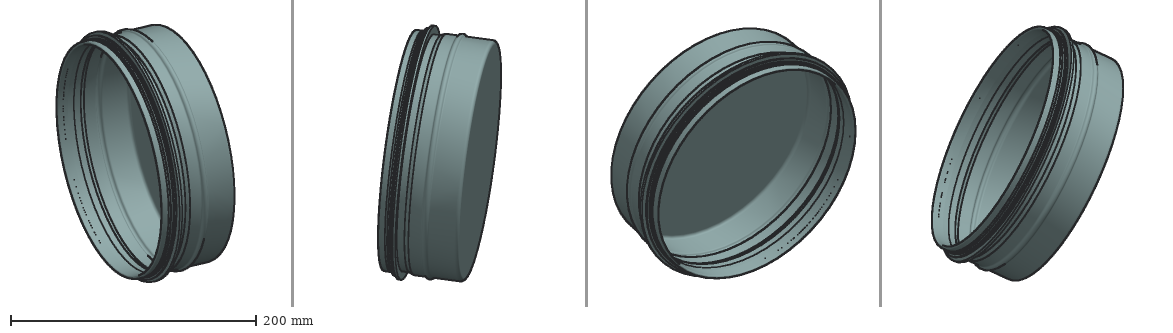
import cadquery as cq
import math

height = 67.0
sheet = 0.5
wall_radius = 198.9 / 2
floor_bend = 3.1

bead_center = 39.0
bead_crest_radius = 101.3
bead_tube = 2.7
bead_blend = 1.5

shoulder_top = 25.5
shoulder_bottom = 22.0
neck_top_radius = 98.0
seat_radius = 193.2 / 2 + sheet
seat_top = 9.8

rim_top = 6.0
rim_inner_radius = seat_radius - sheet
rim_round = (wall_radius - rim_inner_radius) / 2

seal_bore_radius = 195.3 / 2
seal_top = 15.7
sleeve_radius = 198.0 / 2
main_lip_radius = 209.4 / 2
main_lip_bottom = 13.5
second_lip_radius = 204.3 / 2
second_lip_top = 11.3
second_lip_bottom = 9.8
small_lip_radius = 100.0
small_lip_bottom = 8.0

diagonal = math.sqrt(0.5)


def revolve_about_y(profile):
    """Turn a closed (radius, axial position) profile and center it along Y."""
    ring = profile.close().revolve(360, (0, 0, 0), (0, 1, 0))
    return ring.translate((0, -height / 2, 0))


def add_bead(profile, offset, direction):
    """Trace one face of the bead; offset is its distance inside the outer face.

    direction is -1 towards the rim and +1 towards the floor.
    """
    wall = wall_radius - offset
    crest_tube = bead_tube - offset
    blend = bead_blend + offset
    crest_center = bead_crest_radius - bead_tube
    blend_center = wall + blend
    reach = crest_tube + blend
    radial_gap = blend_center - crest_center
    half_width = math.sqrt(reach**2 - radial_gap**2)
    tangent_radius = crest_center + radial_gap * crest_tube / reach
    tangent_axial = half_width * crest_tube / reach
    blend_mid_angle = math.acos(radial_gap / reach) / 2
    mid_radius = blend_center - blend * math.cos(blend_mid_angle)
    mid_axial = half_width - blend * math.sin(blend_mid_angle)
    start = bead_center - direction * half_width
    return (
        profile.lineTo(wall, start)
        .threePointArc(
            (mid_radius, bead_center - direction * mid_axial),
            (tangent_radius, bead_center - direction * tangent_axial),
        )
        .threePointArc(
            (bead_crest_radius - offset, bead_center),
            (tangent_radius, bead_center + direction * tangent_axial),
        )
        .threePointArc(
            (mid_radius, bead_center + direction * mid_axial),
            (wall, bead_center + direction * half_width),
        )
    )


def make_cap():
    """Sheet-metal cap with closed floor, bead, necked seat and folded rim."""
    bend_radius = wall_radius - floor_bend
    bend_axial = height - floor_bend
    inner_bend = floor_bend - sheet
    profile = (
        cq.Workplane("XY")
        .moveTo(0, height)
        .lineTo(bend_radius, height)
        .threePointArc(
            (bend_radius + floor_bend * diagonal, bend_axial + floor_bend * diagonal),
            (wall_radius, bend_axial),
        )
    )
    profile = add_bead(profile, 0, -1)
    profile = (
        profile.lineTo(wall_radius, shoulder_top)
        .lineTo(neck_top_radius, shoulder_bottom)
        .lineTo(seat_radius, seat_top)
        .lineTo(seat_radius, rim_round)
        .threePointArc((wall_radius - rim_round, sheet), (wall_radius - sheet, rim_round))
        .lineTo(wall_radius - sheet, rim_top)
        .lineTo(wall_radius, rim_top)
        .lineTo(wall_radius, rim_round)
        .threePointArc((wall_radius - rim_round, 0), (rim_inner_radius, rim_round))
        .lineTo(rim_inner_radius, seat_top)
        .lineTo(neck_top_radius - sheet, shoulder_bottom)
        .lineTo(wall_radius - sheet, shoulder_top)
    )
    profile = add_bead(profile, sheet, 1)
    profile = (
        profile.lineTo(wall_radius - sheet, bend_axial)
        .threePointArc(
            (bend_radius + inner_bend * diagonal, bend_axial + inner_bend * diagonal),
            (bend_radius, height - sheet),
        )
        .lineTo(0, height - sheet)
    )
    return revolve_about_y(profile)


def make_seal():
    """Sealing ring around the seat, with three lips of decreasing diameter."""
    profile = (
        cq.Workplane("XY")
        .moveTo(seal_bore_radius, seal_top)
        .lineTo(main_lip_radius, seal_top)
        .lineTo(main_lip_radius, main_lip_bottom)
        .lineTo(sleeve_radius, main_lip_bottom)
        .lineTo(sleeve_radius, second_lip_top)
        .lineTo(second_lip_radius, second_lip_top)
        .lineTo(second_lip_radius, second_lip_bottom)
        .lineTo(small_lip_radius, second_lip_bottom)
        .lineTo(small_lip_radius, small_lip_bottom)
        .lineTo(sleeve_radius, small_lip_bottom)
        .lineTo(sleeve_radius, rim_top)
        .lineTo(seal_bore_radius, rim_top)
    )
    return revolve_about_y(profile)


cap = make_cap()
seal = make_seal()
result = cq.Compound.makeCompound([cap.val(), seal.val()])